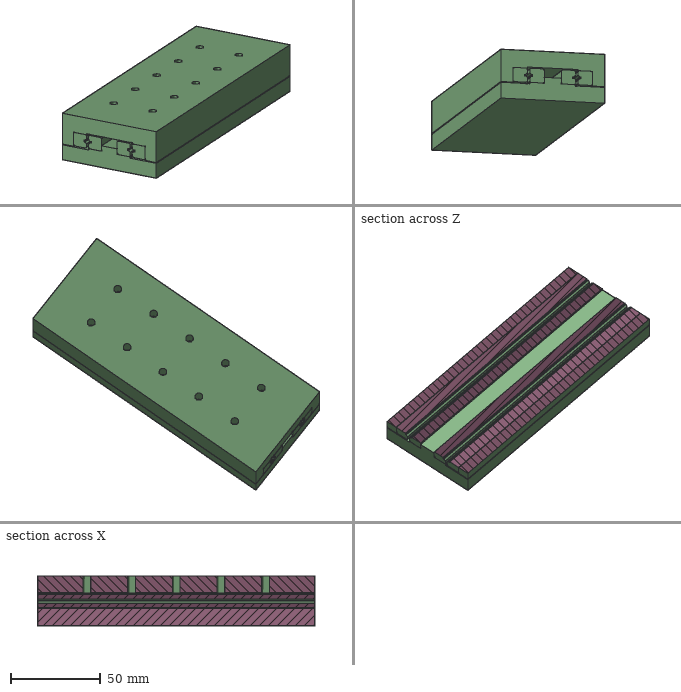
import cadquery as cq

WIDTH = 60.0
LENGTH = 155.0
HEIGHT = 27.9

TRACK_X = 14.0
TRACK_Z = 13.8
RAIL_HEIGHT = 8.0
RAIL_BACK = 9.0
RAIL_GAP = 0.6
RAIL_CHAMFER = 0.6
GROOVE_REACH = 2.0
RELIEF_REACH = 2.3
RELIEF_WIDTH = 0.8

RAIL_BOTTOM = TRACK_Z - RAIL_HEIGHT / 2
RAIL_TOP = TRACK_Z + RAIL_HEIGHT / 2
OUTER_SEAT_X = TRACK_X + RAIL_BACK
INNER_SEAT_X = TRACK_X - RAIL_BACK

BASE_DECK = 9.0
BASE_RIB_TOP = 13.0
BASE_SEAT_X = TRACK_X - RAIL_GAP

CARRIAGE_BOTTOM = 9.5
INNER_RAIL_CLEARANCE = 0.6
RECESS_TOP = RAIL_TOP + INNER_RAIL_CLEARANCE
RECESS_X = TRACK_X + RAIL_GAP

HOLE_DIAMETER = 4.2
HOLE_SPACING = 25.0
HOLE_COLUMNS = 2
HOLE_ROWS = 5


def extrude_full_length(profile):
    """Extrude a closed XZ profile symmetrically along Y."""
    return profile.extrude(LENGTH / 2, both=True)


def symmetric_profile(half_outline):
    """Close an XZ outline of the +X half with its mirror image in the middle plane."""
    mirrored = [(-x, z) for x, z in reversed(half_outline)]
    return cq.Workplane("XZ").polyline(half_outline + mirrored).close()


def make_base():
    half_outline = [
        (WIDTH / 2, 0),
        (WIDTH / 2, BASE_DECK),
        (BASE_SEAT_X, BASE_DECK),
        (BASE_SEAT_X, RAIL_BOTTOM),
        (INNER_SEAT_X, RAIL_BOTTOM),
        (INNER_SEAT_X, BASE_RIB_TOP),
    ]
    return extrude_full_length(symmetric_profile(half_outline))


def make_carriage():
    half_outline = [
        (WIDTH / 2, HEIGHT),
        (WIDTH / 2, CARRIAGE_BOTTOM),
        (OUTER_SEAT_X, CARRIAGE_BOTTOM),
        (OUTER_SEAT_X, RAIL_TOP),
        (RECESS_X, RAIL_TOP),
        (RECESS_X, RECESS_TOP),
    ]
    body = extrude_full_length(symmetric_profile(half_outline))
    holes = (
        cq.Workplane("XY", origin=(0, 0, RAIL_TOP))
        .rarray(HOLE_SPACING, HOLE_SPACING, HOLE_COLUMNS, HOLE_ROWS)
        .circle(HOLE_DIAMETER / 2)
        .extrude(HEIGHT)
    )
    return body.cut(holes)


def make_rail(track_x, facing):
    """One rail beside the roller axis at track_x.

    facing is +1 or -1, the X direction in which its grooved face looks.
    """
    block = (
        extrude_full_length(cq.Workplane("XZ").rect(RAIL_BACK - RAIL_GAP, RAIL_HEIGHT))
        .edges("|Y")
        .chamfer(RAIL_CHAMFER)
        .translate((track_x - facing * (RAIL_BACK + RAIL_GAP) / 2, 0, TRACK_Z))
    )
    axis = cq.Workplane("XZ", origin=(track_x, 0, TRACK_Z))
    diamond = [(GROOVE_REACH, 0), (0, GROOVE_REACH), (-GROOVE_REACH, 0), (0, -GROOVE_REACH)]
    groove = extrude_full_length(axis.polyline(diamond).close())
    relief = extrude_full_length(axis.rect(2 * RELIEF_REACH, RELIEF_WIDTH))
    return block.cut(groove).cut(relief)


base = make_base()
carriage = make_carriage()
rails = [
    make_rail(side * TRACK_X, facing)
    for side in (-1, 1)
    for facing in (-1, 1)
]

result = cq.Compound.makeCompound(
    [base.val(), carriage.val()] + [rail.val() for rail in rails]
)